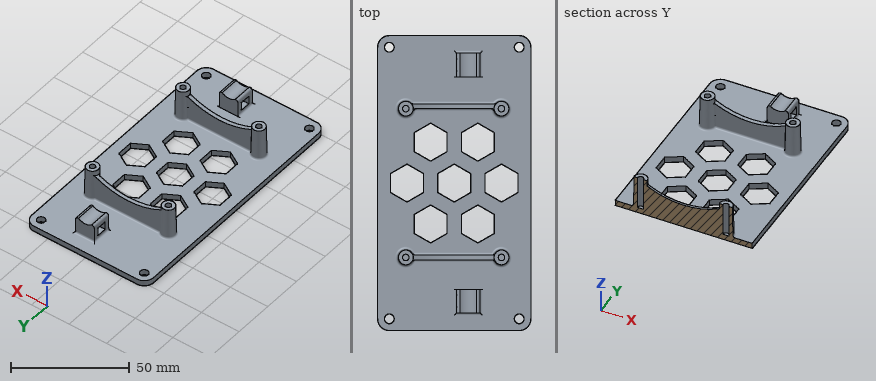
import cadquery as cq
import math

PLATE_X = 65.0
PLATE_Y = 125.0
PLATE_T = 3.0
CORNER_R = 5.0
CORNER_HOLE_D = 4.0
CORNER_HOLE_INSET = CORNER_R

HEX_ACROSS_CORNERS = 16.0
HEX_PITCH = 20.0
HEX_ROW_PITCH = HEX_PITCH * math.sin(math.radians(60))

FRAME_X = -0.2
POST_X = 20.2
POST_Y = 31.5
POST_H = 16.0
POST_TOP_D = 6.2
POST_BOTTOM_D = 7.0
SCREW_HOLE_D = 2.8

RIB_T = 2.0
RIB_MID_H = 9.0
RIB_ARC_R = 37.5
BACK_RIB_Y = POST_Y + RIB_T / 2
FRONT_RIB_Y = -POST_Y

HOLDER_X = 6.0
HOLDER_Y = 50.0
HOLDER_SIZE = 10.0
HOLDER_H = 9.0
HOLDER_EDGE_R = 1.2
SADDLE_W = 7.0
SADDLE_DEPTH = 1.2
STRAP_SLOT_W = 5.0
STRAP_SLOT_Z = 2.0
STRAP_SLOT_H = 4.2

ROOT_R = 1.0

TINY = 0.01


def make_plate():
    plate = cq.Workplane("XY").box(PLATE_X, PLATE_Y, PLATE_T, centered=(True, True, False))
    return plate.edges("|Z").fillet(CORNER_R)


def make_post(x, y):
    return (
        cq.Workplane("XY", origin=(x, y, PLATE_T))
        .circle(POST_BOTTOM_D / 2)
        .workplane(offset=POST_H)
        .circle(POST_TOP_D / 2)
        .loft()
    )


def make_tall_rib(y):
    """Upright web between two posts, as tall as the posts."""
    rib = cq.Workplane("XY", origin=(FRAME_X, y, PLATE_T))
    return rib.box(2 * POST_X, RIB_T, POST_H, centered=(True, True, False))


def make_rib_scoop():
    """Cylinder along Y that hollows the top of both ribs."""
    return (
        cq.Workplane("XZ", origin=(FRAME_X, 0, PLATE_T + RIB_MID_H + RIB_ARC_R))
        .circle(RIB_ARC_R)
        .extrude(PLATE_Y, both=True)
    )


def make_holder(y):
    """Block with a rounded top and a shallow saddle running along Y."""
    block = (
        cq.Workplane("XY", origin=(HOLDER_X, y, PLATE_T))
        .box(HOLDER_SIZE, HOLDER_SIZE, HOLDER_H, centered=(True, True, False))
        .edges(">Z and |Y")
        .fillet(HOLDER_EDGE_R)
    )
    saddle = (
        cq.Workplane("XZ", origin=(HOLDER_X, y, PLATE_T + HOLDER_H))
        .moveTo(-SADDLE_W / 2, 0)
        .threePointArc((0, -SADDLE_DEPTH), (SADDLE_W / 2, 0))
        .close()
        .extrude(HOLDER_SIZE, both=True)
    )
    return block.cut(saddle)


def make_strap_slot(y):
    """Passage along X with a flat floor and a sagging ceiling."""
    half = HOLDER_SIZE / 2
    return (
        cq.Workplane("XZ", origin=(HOLDER_X, y, PLATE_T + STRAP_SLOT_Z))
        .moveTo(-half, 0)
        .lineTo(half, 0)
        .lineTo(half, STRAP_SLOT_H)
        .threePointArc((0, STRAP_SLOT_H - SADDLE_DEPTH), (-half, STRAP_SLOT_H))
        .close()
        .extrude(STRAP_SLOT_W / 2, both=True)
    )


def make_screw_hole(x, y):
    """Blind hole down a post to the top of the plate."""
    return cq.Workplane("XY", origin=(x, y, PLATE_T)).circle(SCREW_HOLE_D / 2).extrude(POST_H)


def make_corner_holes():
    spacing_x = PLATE_X - 2 * CORNER_HOLE_INSET
    spacing_y = PLATE_Y - 2 * CORNER_HOLE_INSET
    return (
        cq.Workplane("XY")
        .rect(spacing_x, spacing_y, forConstruction=True)
        .vertices()
        .circle(CORNER_HOLE_D / 2)
        .extrude(PLATE_T)
    )


def make_vents():
    """Rows of 2, 3 and 2 hexagons, laid out along Y and then turned to run along X."""
    centers = []
    for row, count in ((-1, 2), (0, 3), (1, 2)):
        for i in range(count):
            centers.append((row * HEX_ROW_PITCH, (i - (count - 1) / 2) * HEX_PITCH))
    return (
        cq.Workplane("XY")
        .pushPoints(centers)
        .polygon(6, HEX_ACROSS_CORNERS)
        .extrude(PLATE_T)
        .rotate((0, 0, 0), (0, 0, 1), 90)
    )


def box_around(center, half_size):
    """Selector for edges whose middle lies in the given box."""
    low = tuple(c - h for c, h in zip(center, half_size))
    high = tuple(c + h for c, h in zip(center, half_size))
    return cq.selectors.BoxSelector(low, high)


def rib_joints():
    """Upright corners where the ribs meet the posts."""
    middle = (FRAME_X, 0, PLATE_T + POST_H / 2)
    between_posts = box_around(middle, (POST_X - POST_BOTTOM_D / 2, PLATE_Y, POST_H))
    return box_around(middle, (POST_X, PLATE_Y, POST_H / 4)) - between_posts


def frame_roots():
    """Edges where the posts and ribs rise from the plate."""
    return box_around((FRAME_X, 0, PLATE_T), (POST_X + POST_BOTTOM_D, POST_Y + POST_BOTTOM_D, TINY))


def holder_roots(y):
    """Edges where a holder rises from the plate, except along its face towards the plate middle."""
    half = HOLDER_SIZE / 2
    inner_y = y - math.copysign(half, y)
    all_around = box_around((HOLDER_X, y, PLATE_T), (half + TINY, half + TINY, TINY))
    return all_around - box_around((HOLDER_X, inner_y, PLATE_T), (TINY, TINY, TINY))


post_centers = [(FRAME_X + side_x * POST_X, side_y * POST_Y) for side_x in (-1, 1) for side_y in (-1, 1)]

posts = cq.Workplane("XY")
for x, y in post_centers:
    posts = posts.add(make_post(x, y))
posts = posts.combine()

body = make_plate().union(posts)
for y in (FRONT_RIB_Y, BACK_RIB_Y):
    body = body.union(make_tall_rib(y))
body = body.edges(rib_joints()).fillet(ROOT_R)
body = body.edges(frame_roots()).fillet(ROOT_R)
body = body.cut(make_rib_scoop().cut(posts))
for x, y in post_centers:
    body = body.cut(make_screw_hole(x, y))

for y in (-HOLDER_Y, HOLDER_Y):
    body = body.union(make_holder(y))
    body = body.edges(holder_roots(y)).fillet(ROOT_R)
    body = body.cut(make_strap_slot(y))

result = body.cut(make_corner_holes()).cut(make_vents())